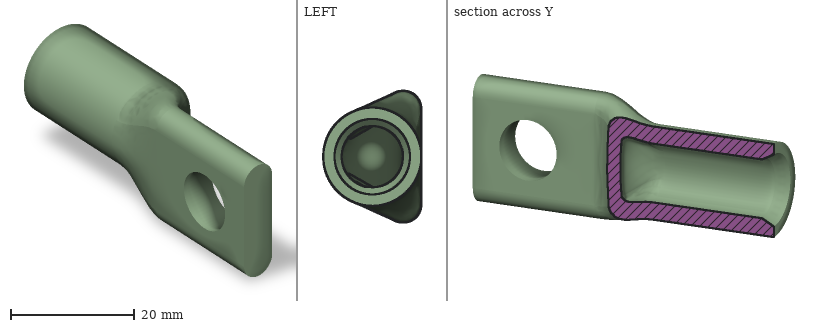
import cadquery as cq
import math


total_length = 55.15
barrel_diameter = 15.95
bore_diameter = 9.95
barrel_length = 22.0
palm_start = 33.25
palm_width = 21.4
palm_thickness = 5.95
hole_diameter = 10.3
hole_x = 45.25
mouth_diameter = 12.25
mouth_depth = 2.2
slit_thickness = 0.1
seam_angle = 29.0
blend_steps = 6
wide_faces = (1, 5)

barrel_radius = barrel_diameter / 2
bore_radius = bore_diameter / 2
mouth_radius = mouth_diameter / 2
back_y = -barrel_radius
palm_y = back_y + palm_thickness / 2
palm_side_z = (palm_width - palm_thickness) / 2


def mix(start, end, share):
    return tuple(a + (b - a) * share for a, b in zip(start, end))


def round_points(radius):
    """Ends and middles of the four arcs of a circle, as (y, z), starting at the lower back seam."""
    seam = math.radians(seam_angle)
    angles = [math.pi + seam, math.pi, math.pi - seam, math.pi / 2,
              seam, 0, -seam, -math.pi / 2]
    return [(radius * math.cos(a), radius * math.sin(a)) for a in angles]


def flat_points(thickness):
    """Matching points of the flattened outline: two flat faces joined by half-round sides."""
    half = thickness / 2
    back = palm_y - half
    front = palm_y + half
    side = palm_side_z
    return [(back, -side), (back, 0), (back, side), (palm_y, side + half),
            (front, side), (front, 0), (front, -side), (palm_y, -side - half)]


def section(x, points, flat):
    """Closed outline across the part at x; its two wide faces are straight when flat."""
    outline = cq.Workplane("YZ", origin=(x, 0, 0)).moveTo(*points[0])
    for i in range(1, len(points), 2):
        middle = points[i]
        end = points[(i + 1) % len(points)]
        if flat and i in wide_faces:
            outline = outline.lineTo(*end)
        else:
            outline = outline.threePointArc(middle, end)
    return outline.wire().val()


def flattening_blend(radius, thickness):
    """Solid that eases smoothly from a circle to the flattened outline."""
    wires = []
    for step in range(blend_steps + 1):
        share = step / blend_steps
        eased = share * share * (3 - 2 * share)
        x = barrel_length + (palm_start - barrel_length) * share
        points = [mix(a, b, eased) for a, b in zip(round_points(radius), flat_points(thickness))]
        wires.append(section(x, points, step == blend_steps))
    return cq.Workplane(cq.Solid.makeLoft(wires))


barrel = cq.Workplane("YZ").circle(barrel_radius).extrude(barrel_length)
palm_outline = section(palm_start, flat_points(palm_thickness), True)
palm = cq.Workplane(
    cq.Solid.extrudeLinear(palm_outline, [], cq.Vector(total_length - palm_start, 0, 0))
)
body = barrel.union(flattening_blend(barrel_radius, palm_thickness)).union(palm)

bore = cq.Workplane("YZ").circle(bore_radius).extrude(barrel_length)
mouth = cq.Workplane(
    cq.Solid.makeCone(mouth_radius, bore_radius, mouth_depth, dir=cq.Vector(1, 0, 0))
)
squeezed_bore = flattening_blend(bore_radius, slit_thickness)

bolt_hole = (
    cq.Workplane("XZ", origin=(hole_x, palm_y + palm_thickness, 0))
    .circle(hole_diameter / 2)
    .extrude(2 * palm_thickness)
)

result = body.cut(bore).cut(mouth).cut(squeezed_bore).cut(bolt_hole)